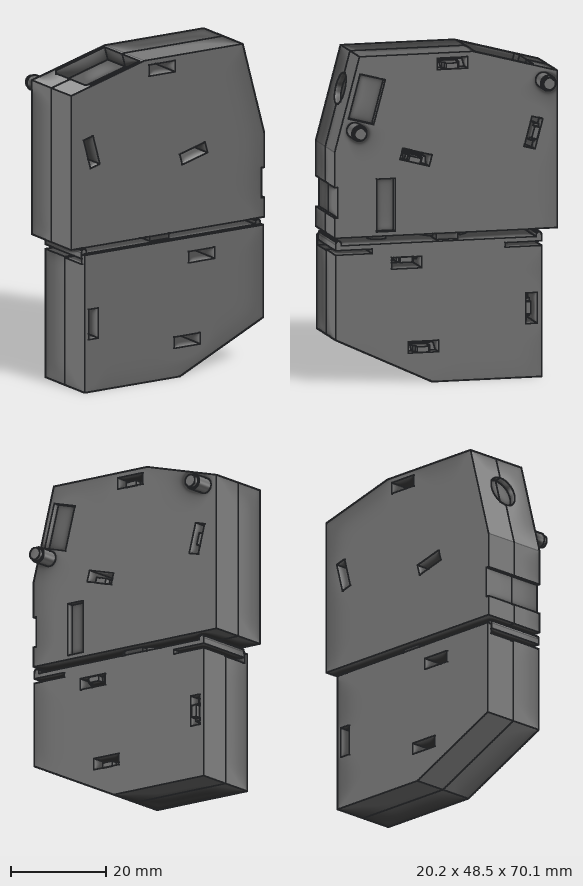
import cadquery as cq
import math

CASE_WIDTH = 15.1
SEAM_X = CASE_WIDTH / 2
SLOPE_ANGLE = 15.0
SLOPE_TAN = math.tan(math.radians(SLOPE_ANGLE))

UPPER_DEPTH = 48.5
UPPER_BOTTOM = 31.6
TOP = 70.1
FRONT_SLOPE_DEPTH = 18.4
BACK_SLOPE_DEPTH = 5.4
FRONT_SHOULDER = TOP - FRONT_SLOPE_DEPTH * SLOPE_TAN
BACK_SHOULDER = TOP - BACK_SLOPE_DEPTH / SLOPE_TAN
NOTCH_DEPTH = 0.7
NOTCH_BOTTOM = 35.9
NOTCH_TOP = 42.4

WINDOW_WIDTH = 13.4
WINDOW_START = 4.85
WINDOW_END = 18.4
WINDOW_DEPTH = 2.95
WINDOW_CHAMFER_X = 1.2
WINDOW_CHAMFER_SLOPE = 0.85

BACK_RECESS_DIAMETER = 6.8
BACK_RECESS_DISTANCE = 12.7
BACK_RECESS_DEPTH = 1.4

SIDE_RECESS_DEPTH = 1.5
LABEL_Y = 41.5
LABEL_Z = 60.9
LABEL_WIDTH = 5.7
LABEL_HEIGHT = 9.75
STUD_DIAMETER = 4.0
STUD_Y = 37.35
STUD_RECESS_BOTTOM = 32.5
STUD_RECESS_TOP = 43.8

PEG_PLACES = [(3.1, 63.3), (44.2, 54.5)]
PEG_DIAMETER = 3.3
PEG_LENGTH = 4.1
PEG_TIP_DIAMETER = 2.6
PEG_REACH = 5.1

LATCH_Y = 23.5
LATCH_RADIUS = 5.7
SEGMENT_INSET = 2.95
SEGMENT_HEIGHT = 1.0
BLOCK_LENGTH = 11.1
BLOCK_WIDTH = 4.8

LOWER_FRONT = 3.35
LOWER_BACK = 48.3
LOWER_TOP = 29.9
CUT_CORNER_DEPTH = 21.0
CUT_CORNER_HEIGHT = 9.8

LID_BOTTOM = 28.0
LID_RIGHT = 13.9
LID_SIDE_GAP = 0.2
LID_BOTTOM_GAP = 0.2
LIP_WIDTH = 1.25
LIP_TOP = 30.9
LIP_EDGES = [(0, 30.2), (0.15, 30.7), (0.4, LIP_TOP)]
UNDERCUT_HEIGHT = 1.0
UNDERCUT_DEPTH = 8.0

SLOT_LENGTH = 6.6
SLOT_WIDTH = 2.45
UPPER_SLOTS = [
    (22.85, 67.8, 0),
    (30.8, 48.1, SLOPE_ANGLE),
    (5.2, 52.15, SLOPE_ANGLE - 90),
]
LOWER_SLOTS = [(32.8, 25.65, 180), (5.6, 14.7, 90), (29.15, 7.6, 0)]
RAMP_HEIGHT = 1.3
RAMP_START = 2.8
RAMP_LENGTH = 1.75
CATCH_HEIGHT = 1.2
CATCH_BACK_WIDTH = 3.7
CATCH_FRONT_WIDTH = 2.6
CATCH_START = 0.35
CATCH_STEP = 1.4


def side_plane(y, z, angle=0.0):
    """Plane on the left side at (y, z), with its first axis turned from +Y towards +Z."""
    turn = math.radians(angle)
    return cq.Plane(origin=(0, y, z), xDir=(0, math.cos(turn), math.sin(turn)), normal=(1, 0, 0))


def block(x0, x1, y0, y1, z0, z1):
    """Box between two limits on each axis."""
    return cq.Workplane("XY").box(x1 - x0, y1 - y0, z1 - z0, centered=False).translate((x0, y0, z0))


def split_at_seam(case):
    """Left and right parts of a shape, divided at the seam."""
    far = 2 * TOP
    left_space = block(-far, SEAM_X, -far, far, -far, far)
    return case.intersect(left_space), case.cut(left_space)


def clip_slots(places):
    """Slots cut through the case along X."""
    slots = cq.Workplane("YZ")
    for y, z, angle in places:
        slot = cq.Workplane(side_plane(y, z, angle)).rect(SLOT_LENGTH, SLOT_WIDTH).extrude(CASE_WIDTH)
        slots = slots.add(slot)
    return slots.combine()


def clip(y, z, angle):
    """Ramp along one long side of a slot, with a stepped catch in front of it."""
    plane = side_plane(y, z, angle)
    floor = -SLOT_WIDTH / 2
    ramp_end = RAMP_START + RAMP_LENGTH
    ramp_plane = cq.Plane(
        origin=plane.toWorldCoords((-SLOT_LENGTH / 2, floor, 0)), xDir=(1, 0, 0), normal=plane.xDir * -1
    )
    ramp = (
        cq.Workplane(ramp_plane)
        .polyline([(RAMP_START, 0), (SEAM_X, 0), (SEAM_X, RAMP_HEIGHT), (ramp_end, RAMP_HEIGHT)])
        .close()
        .extrude(-SLOT_LENGTH)
    )
    catch_plane = cq.Workplane(plane).center(0, floor + CATCH_HEIGHT / 2)
    ramp_and_catch = ramp
    for width, start in ((CATCH_FRONT_WIDTH, CATCH_START), (CATCH_BACK_WIDTH, CATCH_START + CATCH_STEP)):
        step = catch_plane.workplane(offset=start).rect(width, CATCH_HEIGHT).extrude(ramp_end - start)
        ramp_and_catch = ramp_and_catch.union(step)
    return ramp_and_catch


def with_clips(half, places):
    """Left half of a case with the clips of its slots added."""
    for place in places:
        half = half.union(clip(*place))
    return half


def window():
    """Pocket in the front slope, with its two lower corners cut off."""
    plane = cq.Plane(
        origin=(SEAM_X, 0, FRONT_SHOULDER),
        xDir=(1, 0, 0),
        normal=(0, -math.sin(math.radians(SLOPE_ANGLE)), math.cos(math.radians(SLOPE_ANGLE))),
    )
    half = WINDOW_WIDTH / 2
    inner = half - WINDOW_CHAMFER_X
    corner = WINDOW_START + WINDOW_CHAMFER_SLOPE
    return (
        cq.Workplane(plane)
        .polyline([
            (-inner, WINDOW_START),
            (inner, WINDOW_START),
            (half, corner),
            (half, WINDOW_END),
            (-half, WINDOW_END),
            (-half, corner),
        ])
        .close()
        .extrude(-WINDOW_DEPTH)
    )


def back_recess():
    """Shallow round recess in the back slope, centred on the seam."""
    slope = math.radians(SLOPE_ANGLE)
    y = UPPER_DEPTH - BACK_RECESS_DISTANCE * math.sin(slope)
    z = BACK_SHOULDER + BACK_RECESS_DISTANCE * math.cos(slope)
    plane = cq.Plane(
        origin=(SEAM_X, y, z), xDir=(1, 0, 0), normal=(0, math.cos(slope), math.sin(slope))
    )
    return cq.Workplane(plane).circle(BACK_RECESS_DIAMETER / 2).extrude(-BACK_RECESS_DEPTH)


def side_recesses():
    """Two rectangular recesses in the left side: one along the back slope, one above the stud."""
    label = (
        cq.Workplane(side_plane(LABEL_Y, LABEL_Z, SLOPE_ANGLE))
        .rect(LABEL_WIDTH, LABEL_HEIGHT)
        .extrude(SIDE_RECESS_DEPTH)
    )
    half = STUD_DIAMETER / 2
    above_stud = block(
        0, SIDE_RECESS_DEPTH, STUD_Y - half, STUD_Y + half, STUD_RECESS_BOTTOM, STUD_RECESS_TOP
    )
    return label.union(above_stud)


def peg(y, z):
    """Stepped round peg standing out from the left side."""
    start = cq.Workplane(side_plane(y, z))
    shank = start.circle(PEG_DIAMETER / 2).extrude(-PEG_LENGTH)
    tip = start.circle(PEG_TIP_DIAMETER / 2).extrude(-PEG_REACH)
    return shank.union(tip)


def stud():
    """Round stud between the upper case and the lid."""
    return (
        cq.Workplane(cq.Plane(origin=(SEAM_X, STUD_Y, LOWER_TOP)))
        .circle(STUD_DIAMETER / 2)
        .extrude(UPPER_BOTTOM - LOWER_TOP)
    )


def latch():
    """Two segments of a disc, and the flat block that stands on the lid between them."""
    segments = (
        cq.Workplane(cq.Plane(origin=(SEAM_X, LATCH_Y, UPPER_BOTTOM)))
        .circle(LATCH_RADIUS)
        .extrude(-SEGMENT_HEIGHT)
        .cut(
            block(0, CASE_WIDTH, LATCH_Y - SEGMENT_INSET, LATCH_Y + SEGMENT_INSET, LOWER_TOP, UPPER_BOTTOM)
        )
    )
    centre = block(
        SEAM_X - BLOCK_LENGTH / 2,
        SEAM_X + BLOCK_LENGTH / 2,
        LATCH_Y - BLOCK_WIDTH / 2,
        LATCH_Y + BLOCK_WIDTH / 2,
        LOWER_TOP,
        UPPER_BOTTOM,
    )
    return segments, centre


def upper_halves():
    """Left and right halves of the upper case."""
    notch_back = UPPER_DEPTH - NOTCH_DEPTH
    case = (
        cq.Workplane("YZ")
        .polyline([
            (0, UPPER_BOTTOM),
            (0, FRONT_SHOULDER),
            (FRONT_SLOPE_DEPTH, TOP),
            (UPPER_DEPTH - BACK_SLOPE_DEPTH, TOP),
            (UPPER_DEPTH, BACK_SHOULDER),
            (UPPER_DEPTH, NOTCH_TOP),
            (notch_back, NOTCH_TOP),
            (notch_back, NOTCH_BOTTOM),
            (UPPER_DEPTH, NOTCH_BOTTOM),
            (UPPER_DEPTH, UPPER_BOTTOM),
        ])
        .close()
        .extrude(CASE_WIDTH)
    )
    segments, centre = latch()
    case = case.union(segments).union(centre).union(stud())
    case = case.cut(window()).cut(back_recess()).cut(side_recesses()).cut(clip_slots(UPPER_SLOTS))
    left, right = split_at_seam(case)
    left = with_clips(left, UPPER_SLOTS)
    for place in PEG_PLACES:
        left = left.union(peg(*place))
    return left, right


def lid():
    """Lid with a bevelled lip along its front and back, both ends overhanging an undercut."""
    plate = block(0, LID_RIGHT, LOWER_FRONT, LOWER_BACK, LID_BOTTOM, LOWER_TOP)
    undercut_top = LID_BOTTOM + UNDERCUT_HEIGHT
    for start in (LOWER_FRONT, LOWER_BACK - LIP_WIDTH):
        end = start + LIP_WIDTH
        rising = [(start + inset, z) for inset, z in LIP_EDGES]
        falling = [(end - inset, z) for inset, z in reversed(LIP_EDGES)]
        lip = (
            cq.Workplane("YZ")
            .polyline([(start, undercut_top), *rising, *falling, (end, undercut_top)])
            .close()
            .extrude(LID_RIGHT)
        )
        plate = plate.union(lip)
    return plate


def undercuts():
    """Slots under the front and back ends of the lid."""
    top = LID_BOTTOM + UNDERCUT_HEIGHT
    front = block(0, LID_RIGHT, LOWER_FRONT, LOWER_FRONT + UNDERCUT_DEPTH, LID_BOTTOM, top)
    back = block(0, LID_RIGHT, LOWER_BACK - UNDERCUT_DEPTH, LOWER_BACK, LID_BOTTOM, top)
    return front.union(back)


def lower_halves():
    """Left and right halves of the lower case; the left one carries the lid."""
    case = (
        cq.Workplane("YZ")
        .polyline([
            (LOWER_FRONT, 0),
            (LOWER_FRONT, LOWER_TOP),
            (LOWER_BACK, LOWER_TOP),
            (LOWER_BACK, CUT_CORNER_HEIGHT),
            (LOWER_BACK - CUT_CORNER_DEPTH, 0),
        ])
        .close()
        .extrude(CASE_WIDTH)
        .cut(clip_slots(LOWER_SLOTS))
    )
    left, right = split_at_seam(case)
    left = with_clips(left.union(lid()).cut(undercuts()), LOWER_SLOTS)
    lid_space = block(
        SEAM_X, LID_RIGHT + LID_SIDE_GAP, LOWER_FRONT, LOWER_BACK, LID_BOTTOM - LID_BOTTOM_GAP, LOWER_TOP
    )
    return left, right.cut(lid_space)


upper_left, upper_right = upper_halves()
lower_left, lower_right = lower_halves()
result = cq.Compound.makeCompound(
    [upper_left.val(), upper_right.val(), lower_left.val(), lower_right.val()]
)